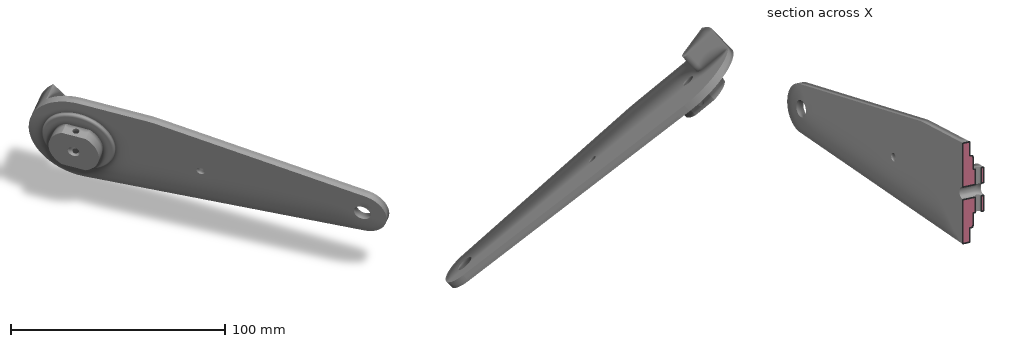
import cadquery as cq
import math

overall_length = 177.0
hub_radius = 50.0 / 2
tip_radius = 12.0
tip_x = overall_length - hub_radius - tip_radius
plate_thickness = 3.9
shoulder_x = 36.0
shoulder_radius = 42.5

hub_bore = 6.0
middle_hole = 4.0
middle_hole_x = 60.0
tip_hole = 8.3

disc_diameter = 36.0
disc_height = 2.0
disc_fillet = 0.97
boss_diameter = 25.0
boss_flats = 22.0
boss_front = 8.0
cross_hole = 3.2
cross_hole_depth = 4.8

lug_height = 10.0
lug_angle = 45.0
lug_nose_radius = 3.7


def front_cylinder(x, diameter, start, end):
    """Cylinder along Y between the two Y positions, centred at (x, z=0)."""
    plane = cq.Workplane("XZ", origin=(x, start, 0))
    return plane.circle(diameter / 2).extrude(start - end)


def polar(radius, angle, center_x=0.0):
    """X and Z of a point on a circle centred on the X axis."""
    return (center_x + radius * math.cos(angle), radius * math.sin(angle))


def make_plate():
    lower_angle = -math.acos((hub_radius - tip_radius) / tip_x)

    run = tip_x - shoulder_x
    slope = math.atan2(hub_radius, run) - math.asin(tip_radius / math.hypot(run, hub_radius))
    setback = shoulder_radius * math.tan(slope / 2)
    arc_start_x = shoulder_x - setback
    arc_center_z = hub_radius - shoulder_radius

    def shoulder_point(turn):
        return (
            arc_start_x + shoulder_radius * math.sin(turn),
            arc_center_z + shoulder_radius * math.cos(turn),
        )

    return (
        cq.Workplane("XZ")
        .moveTo(0, hub_radius)
        .lineTo(arc_start_x, hub_radius)
        .threePointArc(shoulder_point(slope / 2), shoulder_point(slope))
        .lineTo(*polar(tip_radius, math.pi / 2 - slope, tip_x))
        .threePointArc((tip_x + tip_radius, 0), polar(tip_radius, lower_angle, tip_x))
        .lineTo(*polar(hub_radius, lower_angle))
        .threePointArc((-hub_radius, 0), (0, hub_radius))
        .close()
        .extrude(-plate_thickness)
    )


def make_disc():
    disc = front_cylinder(0, disc_diameter, 0, -disc_height)
    return disc.faces("<Y").edges().fillet(disc_fillet)


def make_boss():
    boss = front_cylinder(0, boss_diameter, 0, -boss_front)
    flats = cq.Workplane("XY").box(boss_diameter, 2 * boss_front, boss_flats)
    drill = (
        cq.Workplane("XY", origin=(0, -cross_hole_depth, 0))
        .circle(cross_hole / 2)
        .extrude(boss_flats, both=True)
    )
    return boss.intersect(flats).cut(drill)


def make_lug():
    end_angle = math.pi - math.radians(lug_angle)
    middle_angle = math.pi - math.radians(lug_angle) / 2
    sector = (
        cq.Workplane("XZ")
        .lineTo(-hub_radius, 0)
        .threePointArc(polar(hub_radius, middle_angle), polar(hub_radius, end_angle))
        .close()
        .extrude(-plate_thickness - lug_height)
    )
    return sector.edges("|Y").edges(">X").fillet(lug_nose_radius)


plate = make_plate().union(make_lug()).union(make_disc()).union(make_boss())
back = plate_thickness + lug_height
for hole_x, diameter in ((0, hub_bore), (middle_hole_x, middle_hole), (tip_x, tip_hole)):
    plate = plate.cut(front_cylinder(hole_x, diameter, back, -boss_front))

result = plate